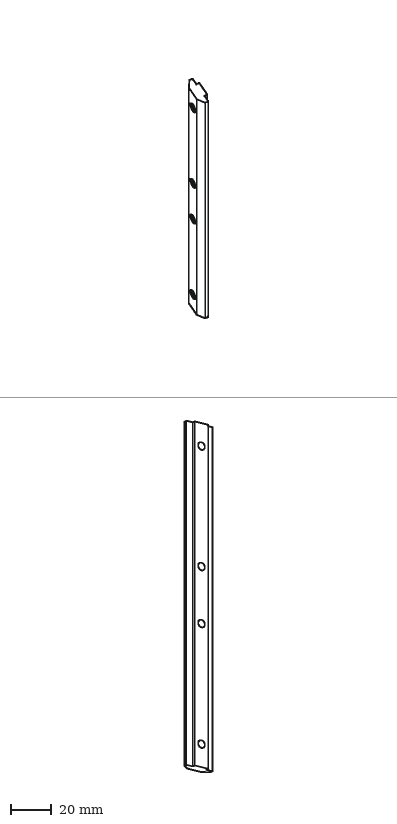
import cadquery as cq

length = 180.0
width = 15.8
depth = 6.0
front_face_width = 8.1
neck_width = 8.1
neck_depth = 1.6
bevel_depth = 2.5

hole_diameter = 4.0
hole_mouth_diameter = 5.0
inner_hole_offset = 15.0
outer_hole_offset = 78.0

front_y = -depth / 2
back_y = depth / 2
shoulder_y = back_y - neck_depth
bevel_end_y = front_y + bevel_depth
mouth_chamfer = (hole_mouth_diameter - hole_diameter) / 2


def make_bar():
    """Extrude the T profile, with bevels toward -Y and the neck toward +Y."""
    right_side = [
        (front_face_width / 2, front_y),
        (width / 2, bevel_end_y),
        (width / 2, shoulder_y),
        (neck_width / 2, shoulder_y),
        (neck_width / 2, back_y),
    ]
    left_side = [(-x, y) for x, y in reversed(right_side)]
    profile = cq.Workplane("XY").polyline(right_side + left_side).close()
    return profile.extrude(length / 2, both=True)


def make_hole(z):
    """Through hole along Y with a 45 degree chamfer at its front mouth."""
    axis_start = cq.Vector(0, front_y, z)
    direction = cq.Vector(0, 1, 0)
    bore = cq.Solid.makeCylinder(hole_diameter / 2, depth, axis_start, direction)
    mouth = cq.Solid.makeCone(
        hole_mouth_diameter / 2, hole_diameter / 2, mouth_chamfer, axis_start, direction
    )
    return bore.fuse(mouth)


result = make_bar()
for offset in (inner_hole_offset, outer_hole_offset):
    for side in (-1, 1):
        result = result.cut(cq.Workplane(obj=make_hole(side * offset)))